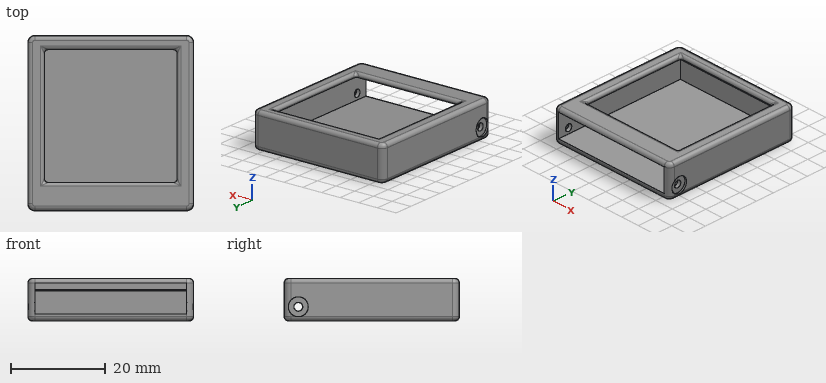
import cadquery as cq

length_x = 35.0
length_y = 37.0
height = 9.0
corner_radius = 1.5
rim_radius = 1.0

side_wall = 1.5
back_wall = 1.15
floor_thickness = 1.5
roof_thickness = 1.0
cavity_half_width = length_x / 2 - side_wall
cavity_back = length_y / 2 - back_wall
cavity_top = height - roof_thickness

groove_z = 6.5
groove_height = 0.3
groove_depth = groove_height / 2

window_side = 28.0
window_center_y = 1.5
window_rim_radius = 0.8
window_corner_radius = 0.75

pin_y = -15.5
pin_z = 3.0
pin_diameter = 1.8
recess_diameter = 4.2
recess_depth = 0.5

pick_margin = 0.1


def rounded_body():
    """Block with rounded upright corners and rounded top and bottom rims."""
    body = cq.Workplane("XY").box(length_x, length_y, height, centered=(True, True, False))
    body = body.edges("|Z").fillet(corner_radius)
    return body.faces("<Z or >Z").edges().fillet(rim_radius)


def cavity():
    """Rectangular space that runs from the open -Y end to the back wall."""
    profile = cq.Workplane("XY", origin=(0, 0, floor_thickness)).moveTo(0, (cavity_back - length_y / 2) / 2)
    return profile.rect(2 * cavity_half_width, cavity_back + length_y / 2).extrude(cavity_top - floor_thickness)


def back_groove():
    """Triangular prism along X, cut into the back wall."""
    half_height = groove_height / 2
    profile = cq.Workplane("YZ", origin=(-cavity_half_width, 0, 0)).polyline(
        [
            (cavity_back, groove_z - half_height),
            (cavity_back + groove_depth, groove_z),
            (cavity_back, groove_z + half_height),
        ]
    )
    return profile.close().extrude(2 * cavity_half_width)


def box_selector(x_range, y_range, z_range):
    """Select the edges whose centres lie inside the given limits."""
    lows, highs = zip(x_range, y_range, z_range)
    return cq.selectors.BoxSelector(lows, highs)


def cut_window(body):
    """Cut the square window, round its top rim, then round its four corners."""
    half = window_side / 2
    opening = cq.Workplane("XY", origin=(0, window_center_y, cavity_top))
    body = body.cut(opening.rect(window_side, window_side).extrude(roof_thickness))

    reach = half + pick_margin
    top_rim = box_selector(
        (-reach, reach),
        (window_center_y - reach, window_center_y + reach),
        (height - pick_margin, height + pick_margin),
    )
    body = body.edges(top_rim).fillet(window_rim_radius)

    corner_edges = None
    for side_x in (-1, 1):
        for side_y in (-1, 1):
            near_x = side_x * (half - pick_margin)
            far_x = side_x * (half + window_rim_radius)
            near_y = window_center_y + side_y * (half - pick_margin)
            far_y = window_center_y + side_y * (half + window_rim_radius)
            corner = box_selector(
                sorted((near_x, far_x)),
                sorted((near_y, far_y)),
                (cavity_top + pick_margin / 2, height - pick_margin / 2),
            )
            corner_edges = corner if corner_edges is None else corner_edges + corner
    return body.edges(corner_edges).fillet(window_corner_radius)


def x_cylinder(diameter, start_x, end_x):
    """Cylinder along X on the pin axis."""
    base = cq.Workplane("YZ", origin=(start_x, pin_y, pin_z))
    return base.circle(diameter / 2).extrude(end_x - start_x)


def pin_holes():
    """Pin hole through the whole width, with a round recess on each outer side."""
    half = length_x / 2
    holes = x_cylinder(pin_diameter, -half, half)
    for side in (-1, 1):
        holes = holes.union(x_cylinder(recess_diameter, side * (half - recess_depth), side * half))
    return holes


body = rounded_body().cut(cavity()).cut(back_groove())
body = cut_window(body)
result = body.cut(pin_holes())